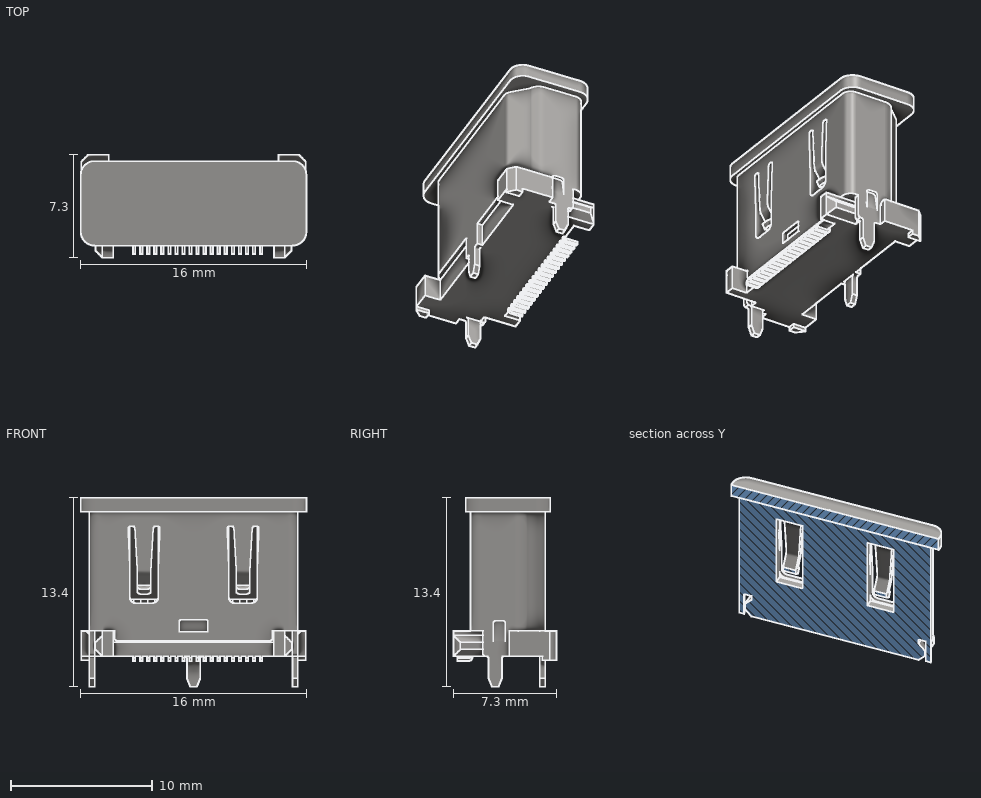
import cadquery as cq
import math


cap_length = 16.0
cap_width = 6.0
cap_thickness = 1.0
cap_corner_radius = 1.0
cap_top_z = 11.25
cap_bottom_z = cap_top_z - cap_thickness

sheet_thickness = 0.4
shell_half_length = 7.4
shell_half_width = 2.65
shell_front_y = -shell_half_width
shell_corner_radius = 0.69
shoulder_y = 1.04
shoulder_radius = 0.96
step_x = 6.82
step_y = 1.38
step_radius = 0.6
back_half_length = 5.65

base_height = 1.8
base_half_length = 6.45
base_back_y = shell_half_width - sheet_thickness
sill_height = 1.0
sill_half_length = 5.68
groove_height = 0.11
skirt_half_length = 5.58
skirt_corner_radius = 0.16
groove_rib_width = 0.62
groove_rib_x = 2.02
groove_rib_setback = 0.13

side_plate_front_y = -1.78
base_side_front_y = side_plate_front_y + sheet_thickness
side_plate_corner_radius = 0.22
back_plate_half_length = 0.93
side_leg_y = -0.9

leg_width = 0.96
leg_tip_width = 0.48
leg_length = 2.16
leg_taper_length = 0.6
leg_root_radius = 0.13

lug_front_y = -3.85
lug_bevel = 0.5
boss_height = 3 * lug_bevel

block_half_length = 7.95
block_inner_x = 6.0
block_front_y = 0.1
block_back_y = 3.45
block_chamfer = 0.5
foot_drop = 0.29
foot_front_y = 2.45
lead_in_size = 0.22
lead_in_length = 0.64

window_x = 3.5
window_top_z = 9.22
window_bottom_z = 3.78
window_width = 2.0
window_top_width = 2.27
window_taper_end_z = 6.08
window_corner_radius = 0.42
slot_end_radius = 0.2
pocket_depth = 1.92
pocket_floor_z = 3.7
ledge_top_z = 4.03
ledge_depth = 0.3
ledge_rib_width = 0.5
ledge_rib_depth = 0.1

finger_root_width = 1.31
finger_tip_width = 0.98
finger_straight_end_z = 6.24
finger_bend_z = 5.92
finger_bend_radius = 0.91
finger_slope_angle = 32.0
finger_turn_z = 5.02
finger_tip_angle = 60.5
finger_tip_length = 0.56
finger_tip_radius = 0.37

latch_width = 2.0
latch_bottom_z = 1.75
latch_top_z = 2.6
latch_corner_radius = 0.1
wedge_y = -0.6
wedge_width = 0.86
wedge_bottom_z = 1.09
wedge_top_z = 2.53
wedge_depth = 0.29
wedge_corner_radius = 0.2

tail_count = 19
tail_span = 9.0
tail_pitch = tail_span / (tail_count - 1)
tail_row_x = 0.29
tail_width = 0.2
tail_foot_thickness = 0.22
tail_back_y = -2.5
tail_front_y = -3.6
tail_bottom_z = -0.34
tail_bend_radius = 0.3
tail_inner_radius = 0.06


def block(x_range, y_range, z_range):
    """Box between two X, two Y and two Z values."""
    size = [high - low for low, high in (x_range, y_range, z_range)]
    return cq.Workplane("XY").box(*size, centered=False).translate((x_range[0], y_range[0], z_range[0]))


def both_sides(solid):
    """The solid and its mirror image on the other side of the YZ plane."""
    return solid.union(solid.mirror("YZ"))


def front_prism(points, front_y, back_y):
    """Outline in X and Z, extruded in Y from front_y to back_y."""
    outline = cq.Workplane("XZ", origin=(0, front_y, 0)).polyline(points).close()
    return outline.extrude(front_y - back_y)


def side_prism(points, x_start, width):
    """Outline in Y and Z, extruded along +X."""
    return cq.Workplane("YZ", origin=(x_start, 0, 0)).polyline(points).close().extrude(width)


def fillet_near(solid, points, radius):
    """Round the edges whose middles are nearest to the points, one after another."""
    for point in points:
        solid = solid.edges(cq.NearestToPointSelector(point)).fillet(radius)
    return solid


def make_cap():
    cap = cq.Workplane("XY").box(cap_length, cap_width, cap_thickness, centered=(True, True, False))
    return cap.edges("|Z").fillet(cap_corner_radius).translate((0, 0, cap_bottom_z))


def make_shell():
    right_side = [
        (shell_half_length, shell_front_y),
        (shell_half_length, shoulder_y),
        (step_x, step_y),
        (back_half_length, shell_half_width),
    ]
    left_side = [(-x, y) for x, y in reversed(right_side)]
    height = cap_bottom_z - base_height
    shell = cq.Workplane("XY").workplane(offset=base_height).polyline(right_side + left_side).close()
    shell = shell.extrude(height)
    middle_z = base_height + height / 2
    radii = (shell_corner_radius, shoulder_radius, step_radius, shell_corner_radius)
    for (x, y), radius in zip(right_side, radii):
        shell = fillet_near(shell, [(x, y, middle_z), (-x, y, middle_z)], radius)
    return shell


def make_base():
    """Base block with a sill at the front and a ribbed groove between the sill and the shell's skirt."""
    groove_back_y = shell_front_y + sheet_thickness
    skirt_bottom_z = sill_height + groove_height
    base = block((-base_half_length, base_half_length), (shell_front_y, base_back_y), (0, base_height))
    groove = block((-sill_half_length, sill_half_length), (shell_front_y, groove_back_y),
                   (sill_height, base_height))
    skirt = block((-skirt_half_length, skirt_half_length), (shell_front_y, groove_back_y),
                  (skirt_bottom_z, base_height))
    skirt = skirt.edges("|Y and <Z").fillet(skirt_corner_radius)
    rib = block((groove_rib_x - groove_rib_width / 2, groove_rib_x + groove_rib_width / 2),
                (shell_front_y + groove_rib_setback, groove_back_y), (sill_height, skirt_bottom_z))
    return base.cut(groove).union(skirt).union(both_sides(rib))


def make_plates():
    """Plates that continue the shell's sheet down to the legs, with the base filling in behind them."""
    inner_x = shell_half_length - sheet_thickness
    side_plate = block((inner_x, shell_half_length), (side_plate_front_y, block_front_y), (0, base_height))
    side_plate = side_plate.edges("|X and <Y and <Z").fillet(side_plate_corner_radius)
    filling = block((base_half_length, inner_x), (base_side_front_y, block_front_y), (0, base_height))
    back_plate = block((-back_plate_half_length, back_plate_half_length), (base_back_y, shell_half_width),
                       (0, base_height))
    return both_sides(side_plate.union(filling)).union(back_plate)


def make_leg():
    """Pointed leg centred on X = 0, with its front face on Y = 0; the top end sits inside the base."""
    half_root = leg_width / 2
    half_tip = leg_tip_width / 2
    half_anchor = half_root + 2 * leg_root_radius
    anchor_height = 3 * leg_root_radius
    leg = front_prism(
        [
            (-half_anchor, anchor_height),
            (-half_anchor, 0),
            (-half_root, 0),
            (-half_root, leg_taper_length - leg_length),
            (-half_tip, -leg_length),
            (half_tip, -leg_length),
            (half_root, leg_taper_length - leg_length),
            (half_root, 0),
            (half_anchor, 0),
            (half_anchor, anchor_height),
        ],
        0,
        sheet_thickness,
    )
    middle_y = sheet_thickness / 2
    return fillet_near(leg, [(-half_root, middle_y, 0), (half_root, middle_y, 0)], leg_root_radius)


def make_legs():
    """One leg at the middle of the back and one in each side plate."""
    back_leg = make_leg().translate((0, base_back_y, 0))
    side_leg = make_leg().rotate((0, 0, 0), (0, 0, 1), -90)
    side_leg = side_leg.translate((shell_half_length - sheet_thickness, side_leg_y, 0))
    return back_leg.union(both_sides(side_leg))


def make_lugs():
    lug = block((sill_half_length, base_half_length), (lug_front_y, base_side_front_y), (0, base_height))
    boss_x = base_half_length + lug_bevel
    boss = block((sill_half_length, boss_x), (lug_front_y, base_side_front_y), (0, boss_height))
    bevels = boss.faces(">X").edges(">Z or <Z or <Y")
    return both_sides(lug.union(bevels.chamfer(lug_bevel)))


def make_back_blocks():
    body = block((block_inner_x, block_half_length), (block_front_y, block_back_y), (0, base_height))
    foot = block((shell_half_length, block_half_length), (foot_front_y, block_back_y), (-foot_drop, 0))
    back_block = body.union(foot)
    corner_cut = cq.Workplane("XY").workplane(offset=-foot_drop).polyline(
        [
            (block_half_length, block_back_y),
            (block_half_length - block_chamfer, block_back_y),
            (block_half_length, block_back_y - block_chamfer),
        ]
    ).close().extrude(base_height + foot_drop)
    lead_in = front_prism(
        [
            (shell_half_length, base_height),
            (shell_half_length + lead_in_size, base_height),
            (shell_half_length, base_height - lead_in_size),
        ],
        block_front_y,
        block_front_y + lead_in_length,
    )
    return both_sides(back_block.cut(corner_cut).cut(lead_in))


def make_window_cutter():
    """Opening in the sheet around the finger, and the pocket behind it with a ribbed ledge."""
    back_y = shell_front_y + pocket_depth
    sheet_back_y = shell_front_y + sheet_thickness
    half = window_width / 2
    half_top = window_top_width / 2

    opening = front_prism(
        [
            (-half_top, window_top_z),
            (half_top, window_top_z),
            (half, window_taper_end_z),
            (half, window_bottom_z),
            (-half, window_bottom_z),
            (-half, window_taper_end_z),
        ],
        shell_front_y,
        sheet_back_y,
    )
    opening = opening.edges("|Y and <Z").fillet(window_corner_radius)
    finger = front_prism(
        [
            (-finger_root_width / 2, window_top_z),
            (finger_root_width / 2, window_top_z),
            (finger_tip_width / 2, finger_straight_end_z),
            (-finger_tip_width / 2, finger_straight_end_z),
        ],
        shell_front_y,
        sheet_back_y,
    )
    opening = opening.cut(finger).edges("|Y and >Z").fillet(slot_end_radius)

    pocket = block((-half, half), (sheet_back_y, back_y), (pocket_floor_z, window_top_z))
    ledge_z = (pocket_floor_z, ledge_top_z)
    ledge_front_y = back_y - ledge_depth
    ledge = block((-half, half), (ledge_front_y, back_y), ledge_z)
    rib = block((ledge_rib_width / 2, ledge_rib_width * 3 / 2), (ledge_front_y - ledge_rib_depth, back_y),
                ledge_z)
    return opening.union(pocket.cut(ledge.union(both_sides(rib))))


def make_bent_finger():
    """Lower part of a finger: sheet of constant thickness, bent inward and then outward."""
    slope = math.radians(finger_slope_angle)
    tip = math.radians(finger_tip_angle)

    turn_y = shell_front_y + (finger_bend_z - finger_turn_z) * math.tan(slope)
    end_y = turn_y - finger_tip_length * math.sin(tip)
    end_z = finger_turn_z - finger_tip_length * math.cos(tip)

    sheet_back_y = shell_front_y + sheet_thickness
    back_bend_z = finger_bend_z + sheet_thickness * math.tan(slope / 2)
    turn_mitre = sheet_thickness / math.cos((slope + tip) / 2)
    turn_back_y = turn_y + turn_mitre * math.cos((slope - tip) / 2)
    turn_back_z = finger_turn_z + turn_mitre * math.sin((slope - tip) / 2)
    end_back_y = end_y + sheet_thickness * math.cos(tip)
    end_back_z = end_z - sheet_thickness * math.sin(tip)

    strip = side_prism(
        [
            (shell_front_y, finger_straight_end_z),
            (shell_front_y, finger_bend_z),
            (turn_y, finger_turn_z),
            (end_y, end_z),
            (end_back_y, end_back_z),
            (turn_back_y, turn_back_z),
            (sheet_back_y, back_bend_z),
            (sheet_back_y, finger_straight_end_z),
        ],
        -finger_tip_width / 2,
        finger_tip_width,
    )
    strip = fillet_near(strip, [(0, shell_front_y, finger_bend_z)], finger_bend_radius)
    strip = fillet_near(strip, [(0, sheet_back_y, back_bend_z)], finger_bend_radius - sheet_thickness)
    corner_y = (end_y + end_back_y) / 2
    corner_z = (end_z + end_back_z) / 2
    corners = [(side * finger_tip_width / 2, corner_y, corner_z) for side in (-1, 1)]
    return fillet_near(strip, corners, finger_tip_radius)


def make_latch_cutter():
    latch = block((-latch_width / 2, latch_width / 2), (shell_front_y, shell_front_y + sheet_thickness),
                  (latch_bottom_z, latch_top_z))
    return latch.edges("|Y and >Z").fillet(latch_corner_radius)


def make_wedge_cutters():
    """Side recesses that deepen upward from nothing at the bottom edge."""
    outer_x = shell_half_length
    recess = block((outer_x - wedge_depth, outer_x), (wedge_y - wedge_width / 2, wedge_y + wedge_width / 2),
                   (wedge_bottom_z, wedge_top_z))
    recess = recess.edges("|X and >Z").fillet(wedge_corner_radius)
    slope = front_prism(
        [(outer_x, wedge_bottom_z), (outer_x, wedge_top_z), (outer_x - wedge_depth, wedge_top_z)],
        wedge_y - wedge_width / 2,
        wedge_y + wedge_width / 2,
    )
    return both_sides(recess.intersect(slope))


def make_tail(x):
    """L-shaped contact tail that leaves the base downward and bends to the front."""
    foot_top_z = tail_bottom_z + tail_foot_thickness
    tail = side_prism(
        [
            (tail_back_y, 0),
            (tail_back_y, tail_bottom_z),
            (tail_front_y, tail_bottom_z),
            (tail_front_y, foot_top_z),
            (shell_front_y, foot_top_z),
            (shell_front_y, 0),
        ],
        x - tail_width / 2,
        tail_width,
    )
    tail = fillet_near(tail, [(x, tail_back_y, tail_bottom_z)], tail_bend_radius)
    return fillet_near(tail, [(x, shell_front_y, foot_top_z)], tail_inner_radius)


def make_connector():
    connector = make_shell()
    for part in (make_base(), make_plates(), make_legs(), make_lugs(), make_back_blocks()):
        connector = connector.union(part)
    for x in (-window_x, window_x):
        connector = connector.cut(make_window_cutter().translate((x, 0, 0)))
        connector = connector.union(make_bent_finger().translate((x, 0, 0)))
    connector = connector.cut(make_latch_cutter()).cut(make_wedge_cutters())
    for index in range(tail_count):
        connector = connector.union(make_tail(tail_row_x - tail_span / 2 + index * tail_pitch))
    return connector


cap = make_cap()
connector = make_connector()
result = cq.Compound.makeCompound([cap.val(), *connector.vals()])